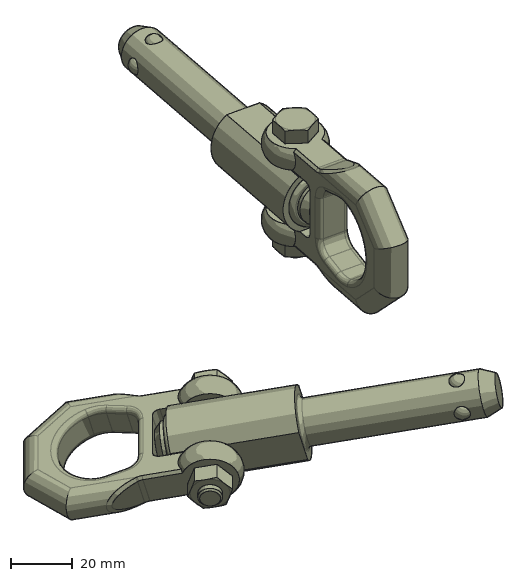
import cadquery as cq
import math


shank_diameter = 16.0
nose_diameter = 11.7
nose_length = 5.0
shank_length = 65.0
shank_root_fillet = 1.5
barrel_diameter = 25.0
barrel_length = 42.8
barrel_flats_height = 21.5
collar_diameter = 20.5
collar_length = 1.7
collar_fillet = 1.6
spindle_overhang = 5.4
spindle_chamfer = 2.2

ball_diameter = 6.3
ball_protrusion = 1.5
ball_position = 12.2

bolt_position = 96.0
bolt_diameter = 8.0
bolt_end_length = 2.4
bolt_end_chamfer = 0.6
hex_across_flats = 13.0
hex_chamfer_angle = 15.0
head_height = 5.2
nut_height = 6.2

handle_end = 157.9
handle_height = 49.1
handle_thickness = 12.0
arm_height = 38.4
arm_edge_chamfer = 1.0
ramp_start = 118.1
ramp_end = 129.5
ramp_fillet = 4.1
boss_diameter = 22.1
boss_face_diameter = 19.0
fork_end = 113.8
fork_corner_radius = 2.5

eye_left = 118.9
eye_left_half_height = 11.8
eye_slope = 15.0
eye_radius = 15.3
eye_center = 130.5
eye_corner_radius = 5.0
eye_blend_radius = 10.3
eye_rim_fillet = 1.9

barrel_end = shank_length + barrel_length
half_fork = barrel_flats_height / 2
half_arm = arm_height / 2
half_handle = handle_height / 2
half_thickness = handle_thickness / 2
boss_height = half_arm - half_fork
octagon_center = handle_end - half_handle
edge_margin = 0.2


def rod(diameter, start, length):
    """Cylinder along X from start."""
    return cq.Workplane("YZ", origin=(start, 0, 0)).circle(diameter / 2).extrude(length)


def make_shank():
    """Tapered nose and round shank, flared by a concave fillet into the barrel face."""
    shank_radius = shank_diameter / 2
    flare_radius = shank_radius + shank_root_fillet
    flare_start = shank_length - shank_root_fillet
    flare_sagitta = shank_root_fillet * math.sin(math.radians(45))
    profile = (
        cq.Workplane("XZ")
        .lineTo(0, nose_diameter / 2)
        .lineTo(nose_length, shank_radius)
        .lineTo(flare_start, shank_radius)
        .threePointArc(
            (flare_start + flare_sagitta, flare_radius - flare_sagitta),
            (shank_length, flare_radius),
        )
        .lineTo(shank_length, 0)
        .close()
    )
    return profile.revolve(360, (0, 0, 0), (1, 0, 0))


def make_barrel():
    """Round barrel with two flats facing the handle bosses."""
    flats = cq.Workplane("XY", origin=(shank_length + barrel_length / 2, 0, 0)).box(
        barrel_length, barrel_diameter, barrel_flats_height
    )
    return rod(barrel_diameter, shank_length, barrel_length).intersect(flats)


def make_release_end():
    """Rounded collar and chamfered spindle behind the barrel."""
    collar = rod(collar_diameter, barrel_end, collar_length).faces(">X").edges().fillet(collar_fillet)
    spindle = rod(shank_diameter, barrel_end, spindle_overhang).faces(">X").chamfer(spindle_chamfer)
    return collar.union(spindle)


def make_locking_balls():
    """Four locking balls standing out of the shank, a quarter turn apart."""
    offset = shank_diameter / 2 + ball_protrusion - ball_diameter / 2
    ball = cq.Workplane("XY", origin=(ball_position, 0, offset)).sphere(ball_diameter / 2)
    balls = ball
    for turn in (90, 180, 270):
        balls = balls.union(ball.rotate((0, 0, 0), (1, 0, 0), turn))
    return balls


def hex_prism(height):
    """Hexagon standing on the upper bosses, its top corners turned down to a round face."""
    corner_diameter = hex_across_flats / math.cos(math.radians(30))
    corner_overhang = (corner_diameter - hex_across_flats) / 2
    corner_drop = corner_overhang * math.tan(math.radians(hex_chamfer_angle))
    base = cq.Workplane("XY", origin=(bolt_position, 0, half_arm))
    turned_blank = (
        base.circle(corner_diameter / 2)
        .extrude(height)
        .faces(">Z")
        .chamfer(corner_drop, corner_overhang)
    )
    return base.polygon(6, corner_diameter).extrude(height).intersect(turned_blank)


def make_bolt():
    """Hex head above, nut below, and a bolt right through with its chamfered end below the nut."""
    end_z = -half_arm - nut_height - bolt_end_length
    shaft = (
        cq.Workplane("XY", origin=(bolt_position, 0, end_z))
        .circle(bolt_diameter / 2)
        .extrude(half_arm - end_z)
        .faces("<Z")
        .chamfer(bolt_end_chamfer)
    )
    return shaft.union(hex_prism(head_height)).union(hex_prism(nut_height).mirror("XY"))


def make_pin():
    """Shank, barrel, release end and balls, with the cross hole for the bolt."""
    pin = make_shank().union(make_barrel()).union(make_release_end()).union(make_locking_balls())
    bolt_hole = (
        cq.Workplane("XY", origin=(bolt_position, 0, 0))
        .circle(bolt_diameter / 2)
        .extrude(half_fork, both=True)
    )
    return pin.cut(bolt_hole)


def make_boss():
    """Upper boss with a bulging rim, turned about the bolt axis."""
    face_radius = boss_face_diameter / 2
    profile = (
        cq.Workplane("XZ", origin=(bolt_position, 0, half_fork))
        .lineTo(face_radius, 0)
        .threePointArc((boss_diameter / 2, boss_height / 2), (face_radius, boss_height))
        .lineTo(0, boss_height)
        .close()
    )
    return profile.revolve(360, (0, 0, 0), (0, 1, 0))


def rounded_slab(direction):
    """Slab around the octagon centre whose far edge, in the given direction from X, is a full round."""
    reach = 2 * handle_height
    flat_end = half_handle - half_thickness
    section = (
        cq.Workplane("XY")
        .moveTo(-reach, -half_thickness)
        .lineTo(flat_end, -half_thickness)
        .threePointArc((half_handle, 0), (flat_end, half_thickness))
        .lineTo(-reach, half_thickness)
        .close()
        .extrude(reach, both=True)
    )
    return section.rotate((0, 0, 0), (0, 1, 0), -direction).translate((octagon_center, 0, 0))


def make_frame():
    """Half octagon with fully rounded edges, its sides running on to the bolt."""
    frame = cq.Workplane("XY", origin=(bolt_position + handle_height, 0, 0)).box(
        2 * handle_height, handle_thickness, 2 * handle_height
    )
    for direction in (-90, -45, 0, 45, 90):
        frame = frame.intersect(rounded_slab(direction))
    return frame


def make_arm_relief():
    """Cutter that lowers the upper side to the arm and ramps up to the octagon."""
    slope = (half_handle - half_arm) / (ramp_end - ramp_start)
    clearance = handle_thickness
    return (
        cq.Workplane("XZ")
        .moveTo(bolt_position - clearance, half_arm)
        .lineTo(ramp_start, half_arm)
        .lineTo(ramp_end + clearance, half_handle + clearance * slope)
        .lineTo(bolt_position - clearance, half_handle + clearance * slope)
        .close()
        .extrude(handle_thickness, both=True)
        .edges(cq.selectors.NearestToPointSelector((ramp_start, 0, half_arm)))
        .fillet(ramp_fillet)
    )


def make_fork_slot():
    """Slot between the arms that clears the barrel and its release end."""
    return (
        cq.Workplane("XY", origin=((bolt_position + fork_end) / 2, 0, 0))
        .box(fork_end - bolt_position, handle_thickness, barrel_flats_height)
        .edges("|Y and >X")
        .fillet(fork_corner_radius)
    )


def make_eye():
    """D-shaped eye: straight left side, sloping shoulders and a round right side."""
    tangent = math.tan(math.radians(eye_slope))
    height_at_center = eye_left_half_height + tangent * (eye_center - eye_left)
    square_term = 1 + tangent**2
    linear_term = 2 * tangent * height_at_center
    constant_term = height_at_center**2 - eye_radius**2
    root = math.sqrt(linear_term**2 - 4 * square_term * constant_term)
    meet_u = (root - linear_term) / (2 * square_term)
    meet_x = eye_center + meet_u
    meet_z = height_at_center + tangent * meet_u
    eye = (
        cq.Workplane("XZ")
        .moveTo(eye_left, -eye_left_half_height)
        .lineTo(eye_left, eye_left_half_height)
        .lineTo(meet_x, meet_z)
        .threePointArc((eye_center + eye_radius, 0), (meet_x, -meet_z))
        .close()
        .extrude(half_thickness, both=True)
    )
    eye = eye.edges("|Y and <X").fillet(eye_corner_radius)
    for z in (meet_z, -meet_z):
        eye = eye.edges(cq.selectors.NearestToPointSelector((meet_x, 0, z))).fillet(eye_blend_radius)
    return eye


def chamfer_arm_edges(frame):
    """Bevel the side edges of both arms and ramps."""
    for side in (1, -1):
        arm_region = cq.selectors.BoxSelector(
            (bolt_position + edge_margin, -handle_thickness, side * (half_arm - edge_margin)),
            (ramp_end + edge_margin, handle_thickness, side * (half_handle + edge_margin)),
        )
        frame = frame.edges(arm_region).edges("not |Y").chamfer(arm_edge_chamfer)
    return frame


def fillet_eye_rims(handle):
    """Round the eye's rim on both faces of the handle."""
    rim_region = cq.selectors.BoxSelector(
        (eye_left - edge_margin, -handle_thickness, -eye_radius - edge_margin),
        (eye_center + eye_radius + edge_margin, handle_thickness, eye_radius + edge_margin),
    )
    return handle.faces("<Y or >Y").edges(rim_region).fillet(eye_rim_fillet)


def make_handle():
    """Frame with fork slot and eye, carrying both bosses and the bolt."""
    relief = make_arm_relief()
    frame = make_frame().cut(relief).cut(relief.mirror("XY"))
    handle = chamfer_arm_edges(frame).cut(make_fork_slot()).cut(make_eye())
    handle = fillet_eye_rims(handle)
    boss = make_boss()
    return handle.union(boss).union(boss.mirror("XY")).union(make_bolt())


pin = make_pin()
handle = make_handle()
result = cq.Compound.makeCompound([*pin.solids().vals(), *handle.solids().vals()])